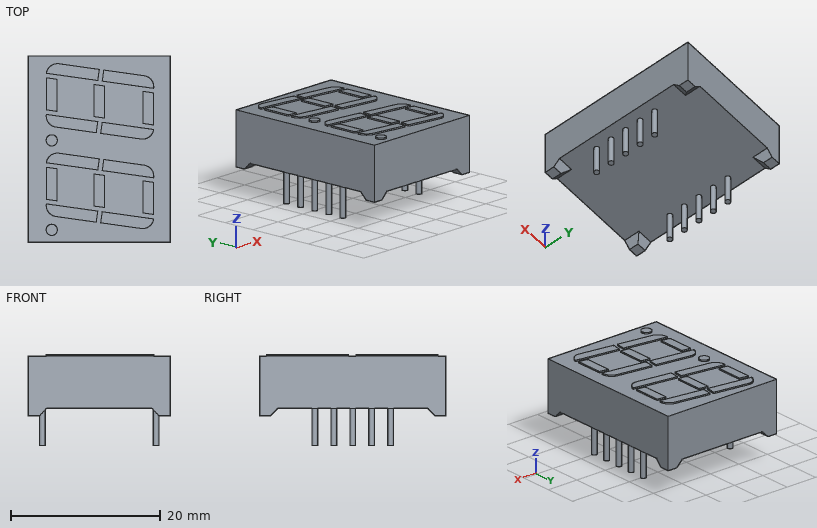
import cadquery as cq
import math


body_x = 19.05
body_y = 25.0
body_height = 8.0
foot_width = 1.5
recess_depth = 1.0

pin_diameter = 0.8
pin_pitch = 2.54
pin_row_spacing = 15.24
pins_per_row = 5
pin_length_below_feet = 4.0

segment_height = 0.2
slant = math.radians(8)
digit_x = 0.1
digit_pitch = 12.0
upper_digit_y = 6.4
digit_centers_y = (upper_digit_y, upper_digit_y - digit_pitch)

long_width = 1.5
long_inner_offset = 2.76
long_outer_end = 7.2
long_gap_end = 0.3
long_length = (long_outer_end - long_gap_end) / math.cos(slant)

bar_width = 1.4
bar_length = 4.3
bar_outer_offset = 6.47
middle_bar_offset = -digit_x

dot_diameter = 1.5
dot_drop = 5.23


def recess_channel(plane, width, length):
    """Trapezoid channel through the underside, centred on the plane normal."""
    bottom_half = width / 2 - foot_width
    top_half = bottom_half - recess_depth
    return (
        cq.Workplane(plane)
        .moveTo(-bottom_half, 0)
        .lineTo(bottom_half, 0)
        .lineTo(top_half, recess_depth)
        .lineTo(-top_half, recess_depth)
        .close()
        .extrude(length / 2, both=True)
    )


def make_housing():
    """Rectangular block standing on four corner feet."""
    block = cq.Workplane("XY").box(body_x, body_y, body_height, centered=(True, True, False))
    block = block.cut(recess_channel("XZ", body_x, body_y))
    return block.cut(recess_channel("YZ", body_y, body_x))


def make_pins():
    """Two rows of round pins hanging from the recessed underside."""
    pin_top = body_height / 2
    return (
        cq.Workplane("XY")
        .workplane(offset=pin_top)
        .rarray(pin_row_spacing, pin_pitch, 2, pins_per_row)
        .circle(pin_diameter / 2)
        .extrude(-(pin_top + pin_length_below_feet))
    )


def slant_drop(x_offset):
    """Y offset of the slanted digit axis at an X offset from the digit centre."""
    return -x_offset * math.tan(slant)


def digit_plane(center_y):
    """Workplane on the housing top, centred on a digit."""
    return cq.Workplane("XY", origin=(digit_x, center_y, body_height))


def long_segment(center_y, side_x, side_y):
    """Slanted segment in one quadrant of a digit, with its outer corner rounded."""
    corner_x = side_x * long_outer_end
    corner_y = side_y * long_inner_offset + slant_drop(corner_x)

    def place(inward, outward):
        """Point at distances along and across the segment from its inner outer-end corner."""
        along = -side_x * inward
        across = side_y * outward
        return (
            corner_x + along * math.cos(slant) + across * math.sin(slant),
            corner_y - along * math.sin(slant) + across * math.cos(slant),
        )

    diagonal = long_width * math.sqrt(0.5)
    return (
        digit_plane(center_y)
        .moveTo(*place(0, 0))
        .threePointArc(place(long_width - diagonal, diagonal), place(long_width, long_width))
        .lineTo(*place(long_length, long_width))
        .lineTo(*place(long_length, 0))
        .close()
        .extrude(segment_height)
    )


def bar_segment(center_y, offset_x):
    """Parallelogram segment with straight sides along Y and slanted ends."""
    left = offset_x - bar_width / 2
    right = offset_x + bar_width / 2
    half_length = bar_length / 2
    return (
        digit_plane(center_y)
        .moveTo(left, slant_drop(left) - half_length)
        .lineTo(right, slant_drop(right) - half_length)
        .lineTo(right, slant_drop(right) + half_length)
        .lineTo(left, slant_drop(left) + half_length)
        .close()
        .extrude(segment_height)
    )


def decimal_point(center_y):
    """Round dot in line with the left bar segment."""
    return (
        digit_plane(center_y)
        .center(-bar_outer_offset, -dot_drop)
        .circle(dot_diameter / 2)
        .extrude(segment_height)
    )


result = make_housing().union(make_pins())
for digit_y in digit_centers_y:
    for x_sign in (-1, 1):
        for y_sign in (-1, 1):
            result = result.union(long_segment(digit_y, x_sign, y_sign))
    for bar_offset in (-bar_outer_offset, middle_bar_offset, bar_outer_offset):
        result = result.union(bar_segment(digit_y, bar_offset))
    result = result.union(decimal_point(digit_y))